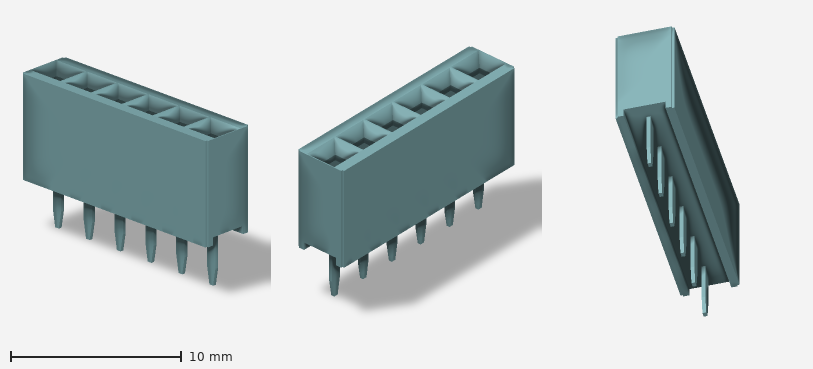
import cadquery as cq

contact_count = 6
length = 15.24
pitch = length / contact_count
width = 3.57
total_height = 9.9
pin_drop = 3.19
housing_height = total_height - pin_drop

notch_length = 0.1
notch_width = 0.14

channel_width = 2.53
channel_depth = 0.52

mouth_length = 2.44
mouth_width = 2.16
mouth_inset = 0.62
mouth_depth = 0.65
well_length = mouth_length - 2 * mouth_inset
well_width = mouth_width - 2 * mouth_inset
well_depth = 0.38

pin_width = 0.69
pin_thickness = 0.23
tip_width = 0.3
tip_height = 1.13

contact_positions = [(i - (contact_count - 1) / 2) * pitch for i in range(contact_count)]


def make_housing():
    """Block standing on Z = 0 with notched upright corners and a channel underneath."""
    block = cq.Workplane("XY").box(length, width, housing_height, centered=(True, True, False))
    notches = (
        cq.Workplane("XY")
        .rect(length, width, forConstruction=True)
        .vertices()
        .rect(2 * notch_length, 2 * notch_width)
        .extrude(housing_height)
    )
    channel = cq.Workplane("XY").box(length, channel_width, channel_depth, centered=(True, True, False))
    return block.cut(notches).cut(channel)


def make_socket(x):
    """Volume removed for one socket: a tapered mouth with a well below it."""
    mouth = (
        cq.Workplane("XY", origin=(x, 0, housing_height))
        .rect(mouth_length, mouth_width)
        .workplane(offset=-mouth_depth)
        .rect(well_length, well_width)
        .loft(ruled=True)
    )
    well = (
        cq.Workplane("XY", origin=(x, 0, housing_height - mouth_depth))
        .rect(well_length, well_width)
        .extrude(-well_depth)
    )
    return mouth.union(well)


def make_pin(x):
    """Flat pin hanging from the channel roof, narrowing towards its tip."""
    outline = [
        (-pin_width / 2, channel_depth),
        (-pin_width / 2, tip_height - pin_drop),
        (-tip_width / 2, -pin_drop),
        (tip_width / 2, -pin_drop),
        (pin_width / 2, tip_height - pin_drop),
        (pin_width / 2, channel_depth),
    ]
    return (
        cq.Workplane("XZ", origin=(x, 0, 0))
        .polyline(outline)
        .close()
        .extrude(pin_thickness / 2, both=True)
    )


result = make_housing()
for position in contact_positions:
    result = result.cut(make_socket(position))
    result = result.union(make_pin(position))